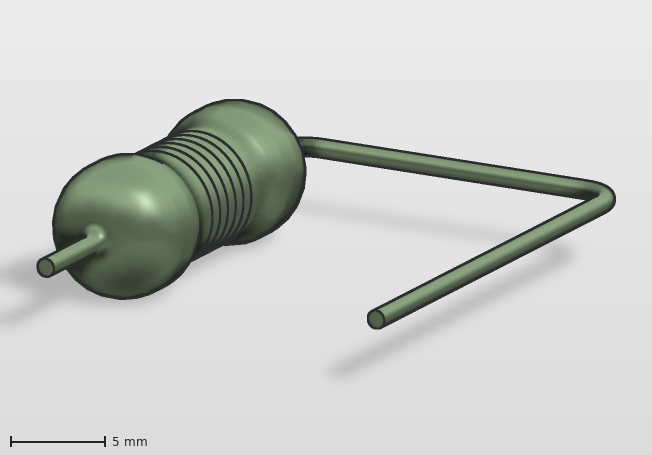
import cadquery as cq

total_length = 27.1
lead_radius = 1.0 / 2
lead_pitch = 20.0
bend_radius = 2.0

body_center_y = 14.6
cap_radius = 7.5 / 2
barrel_radius = 6.37 / 2
band_radius = 6.4 / 2

barrel_half_length = 2.98
shoulder_length = 2.17
cap_land_length = 1.2
cap_dome_length = 2.7
foot_radius = 0.68

band_count = 3
band_pitch = 2 * barrel_half_length / (band_count + 0.5)
band_width = band_pitch / 2

land_start = barrel_half_length + shoulder_length
land_end = land_start + cap_land_length
body_half_length = land_end + cap_dome_length
foot_end = body_half_length + foot_radius
foot_base_radius = lead_radius + foot_radius


def half_body():
    """Half of the coating, from its middle to the fillet around the lead."""
    shoulder_middle = ((barrel_radius + cap_radius) / 2, barrel_half_length + shoulder_length / 2)
    profile = (
        cq.Workplane("XY")
        .lineTo(barrel_radius, 0)
        .lineTo(barrel_radius, barrel_half_length)
        .tangentArcPoint(shoulder_middle, relative=False)
        .tangentArcPoint((cap_radius, land_start), relative=False)
        .lineTo(cap_radius, land_end)
        .tangentArcPoint((foot_base_radius, body_half_length), relative=False)
        .radiusArc((lead_radius, foot_end), foot_radius)
        .lineTo(0, foot_end)
        .close()
    )
    return profile.revolve(360, (0, 0, 0), (0, 1, 0))


def colour_band(center):
    """Disc whose rim stands slightly proud of the barrel."""
    start = cq.Workplane("XZ", origin=(0, center - band_width / 2, 0))
    return start.circle(band_radius).extrude(-band_width)


def bent_lead():
    """One wire through the body, around two bends and back to y = 0."""
    top_y = total_length - lead_radius
    path = (
        cq.Workplane("XY")
        .lineTo(0, top_y - bend_radius)
        .tangentArcPoint((bend_radius, top_y), relative=False)
        .lineTo(lead_pitch - bend_radius, top_y)
        .tangentArcPoint((lead_pitch, top_y - bend_radius), relative=False)
        .lineTo(lead_pitch, 0)
    )
    return cq.Workplane("XZ").circle(lead_radius).sweep(path)


upper_half = half_body()
body = upper_half.union(upper_half.mirror("XZ"))
for index in range(band_count):
    body = body.union(colour_band((index - (band_count - 1) / 2) * band_pitch))

result = body.translate((0, body_center_y, 0)).union(bent_lead())